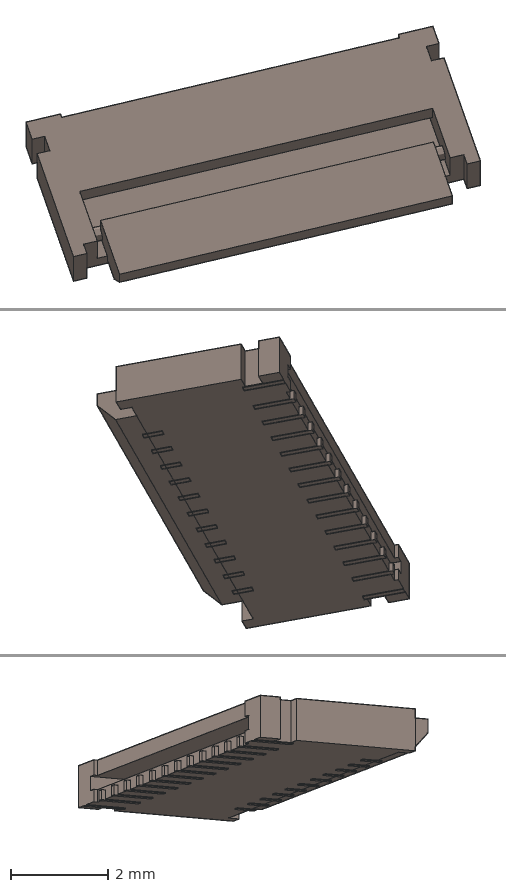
import cadquery as cq


length = 8.7
overall_depth = 4.19
overall_height = 0.9
standoff = 0.02

ear_depth = 3.52
mouth_depth = 3.28
ear_width = 0.29
tail_recess_depth = 0.09
tail_recess_inset = 0.74
notch_start = 0.45
notch_end = 0.83
notch_depth = 0.27

pocket_start = 1.98
pocket_width = 7.54
floor_height = 0.28
slot_height = 0.3

rod_radius = 0.15
rod_x = 2.775
rod_z = 0.4

actuator_start = 2.78
actuator_width = 7.12
actuator_bottom = 0.15
actuator_top = 0.87
actuator_bevel_x = 3.79
actuator_bevel_z = 0.58

pitch = 0.6
tail_count = 12
contact_width = 0.12
tail_height = 0.21
foot_end = 0.89
front_pad_start = 2.95
front_pad_end = 3.375
end_pad_y = 4.01


def block(x_start, x_end, width, z_start, z_end, y_center=0.0):
    """Box between two X and two Z limits, centred on y_center."""
    box = cq.Workplane("XY").box(x_end - x_start, width, z_end - z_start, centered=(False, True, False))
    return box.translate((x_start, y_center, z_start))


def make_housing():
    body = block(0, ear_depth, length, standoff, overall_height)
    mouth = block(mouth_depth, ear_depth, length - 2 * ear_width, standoff, overall_height)
    tail_recess = block(0, tail_recess_depth, length - 2 * tail_recess_inset, standoff, overall_height)
    pocket = block(pocket_start, ear_depth, pocket_width, floor_height, overall_height)
    slot = block(0, pocket_start, pocket_width, floor_height, floor_height + slot_height)
    body = body.cut(mouth).cut(tail_recess).cut(pocket).cut(slot)
    for side in (-1, 1):
        notch_y = side * (length - notch_depth) / 2
        body = body.cut(block(notch_start, notch_end, notch_depth, standoff, overall_height, notch_y))
    return body


def make_actuator():
    profile = [
        (actuator_start, actuator_bottom),
        (actuator_bevel_x, actuator_bottom),
        (overall_depth, actuator_bevel_z),
        (overall_depth, actuator_top),
        (actuator_start, actuator_top),
    ]
    flap = cq.Workplane("XZ").polyline(profile).close().extrude(actuator_width / 2, both=True)
    rod = cq.Workplane("XZ").center(rod_x, rod_z).circle(rod_radius).extrude(pocket_width / 2, both=True)
    return flap.union(rod)


def row_positions(count):
    """Y positions of a row of contacts centred on the connector."""
    return [(i - (count - 1) / 2) * pitch for i in range(count)]


def add_contacts(body):
    for y in row_positions(tail_count):
        body = body.union(block(0, tail_recess_depth, contact_width, 0, tail_height, y))
        body = body.union(block(0, foot_end, contact_width, 0, standoff, y))
    for y in row_positions(tail_count - 1):
        body = body.union(block(front_pad_start, front_pad_end, contact_width, 0, standoff, y))
    for y in (-end_pad_y, end_pad_y):
        body = body.union(block(0, foot_end, contact_width, 0, standoff, y))
    return body


result = add_contacts(make_housing().union(make_actuator()))